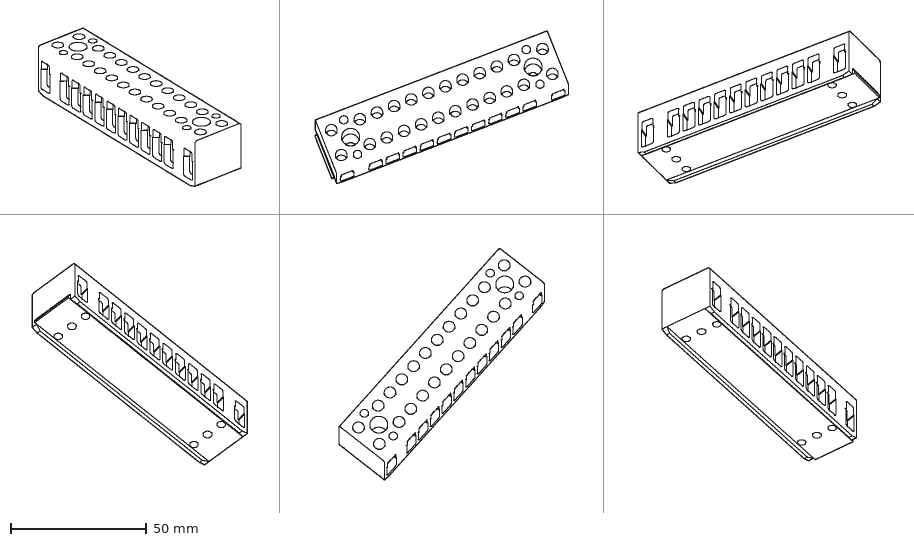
import cadquery as cq
import math

TOTAL_LENGTH = 93.15
WIDTH = 22.0
HEIGHT = 20.1
TAB_REACH = 1.0
BODY_LENGTH = TOTAL_LENGTH - TAB_REACH
TOP_FILLET = 1.1

RAMP_LENGTH = 2.8
RAMP_HEIGHT = 0.9
GROOVE_DEPTH = RAMP_HEIGHT
GROOVE_WIDTH_AT_ROOF = 17.3
GROOVE_WIDTH_AT_MOUTH = 19.0

TAB_WIDTH = GROOVE_WIDTH_AT_ROOF
TAB_BOTTOM_Z = GROOVE_DEPTH
TAB_NOSE_HEIGHT = 1.2
TAB_ARC_HEIGHT = 1.4
TAB_LEDGE = 0.3

STATION_COUNT = 10
STATION_PITCH = 6.8
END_STATION_X = 41.9
INNER_STATIONS = [(i - (STATION_COUNT - 1) / 2) * STATION_PITCH for i in range(STATION_COUNT)]
STATIONS = [-END_STATION_X, *INNER_STATIONS, END_STATION_X]

TERMINAL_DIAMETER = 4.3
TERMINAL_ROW_Y = 5.0
TERMINAL_DEPTH = 11.2

WINDOW_DEPTH = 3.0
WINDOW_WIDTH = 5.3
WINDOW_UPPER_WIDTH = 4.7
WINDOW_BOTTOM_Z = 2.6
WINDOW_TOP_Z = 14.4
WINDOW_STEP_OUTER_Z = 10.8
WINDOW_STEP_INNER_Z = 9.8
WINDOW_BOTTOM_FILLET = 0.9
WINDOW_TOP_FILLET = 0.6

MOUNT_X = 36.2
COUNTERBORE_DIAMETER = 6.6
COUNTERBORE_DEPTH = 11.2
SCREW_HOLE_DIAMETER = 3.3
SCREW_HOLE_ROUNDING = 1.1
SMALL_HOLE_DIAMETER = 3.1
SMALL_HOLE_Y = 7.0


def make_body():
    """Block with sloped underside ends and rounded long top edges, centred on X and Y."""
    half = BODY_LENGTH / 2
    side_profile = [
        (-half, RAMP_HEIGHT),
        (-half + RAMP_LENGTH, 0),
        (half - RAMP_LENGTH, 0),
        (half, RAMP_HEIGHT),
        (half, HEIGHT),
        (-half, HEIGHT),
    ]
    body = cq.Workplane("XZ").polyline(side_profile).close().extrude(WIDTH / 2, both=True)
    return body.faces(">Z").edges("|X").fillet(TOP_FILLET)


def make_groove():
    """Full-length underside groove that widens towards its mouth."""
    mouth = GROOVE_WIDTH_AT_MOUTH / 2
    roof = GROOVE_WIDTH_AT_ROOF / 2
    section = [(-mouth, 0), (mouth, 0), (roof, GROOVE_DEPTH), (-roof, GROOVE_DEPTH)]
    return cq.Workplane("YZ").polyline(section).close().extrude(BODY_LENGTH / 2, both=True)


def make_tab():
    """Retaining tab whose upper side is a concave arc below a narrow ledge."""
    face_x = -BODY_LENGTH / 2
    ledge_x = face_x - TAB_LEDGE
    nose_x = face_x - TAB_REACH
    nose_top_z = TAB_BOTTOM_Z + TAB_NOSE_HEIGHT
    ledge_z = nose_top_z + TAB_ARC_HEIGHT
    arc_reach = TAB_REACH - TAB_LEDGE
    radius = (arc_reach**2 + TAB_ARC_HEIGHT**2) / (2 * arc_reach)
    half_sweep = math.asin(TAB_ARC_HEIGHT / radius) / 2
    arc_middle = (
        ledge_x - radius * (1 - math.cos(half_sweep)),
        ledge_z - radius * math.sin(half_sweep),
    )
    return (
        cq.Workplane("XZ")
        .moveTo(face_x, TAB_BOTTOM_Z)
        .lineTo(nose_x, TAB_BOTTOM_Z)
        .lineTo(nose_x, nose_top_z)
        .threePointArc(arc_middle, (ledge_x, ledge_z))
        .lineTo(face_x, ledge_z)
        .close()
        .extrude(TAB_WIDTH / 2, both=True)
    )


def make_window():
    """Cutter for one side window at X = 0 on the -Y side."""
    face_y = -WIDTH / 2
    inner_y = face_y + WINDOW_DEPTH
    lower_section = [
        (face_y, WINDOW_BOTTOM_Z),
        (inner_y, WINDOW_BOTTOM_Z),
        (inner_y, WINDOW_STEP_INNER_Z),
        (face_y, WINDOW_STEP_OUTER_Z),
    ]
    lower = cq.Workplane("YZ").polyline(lower_section).close().extrude(WINDOW_WIDTH / 2, both=True)
    lower = lower.faces("<Z").edges("|Y").fillet(WINDOW_BOTTOM_FILLET)
    upper_start_z = WINDOW_BOTTOM_Z + WINDOW_BOTTOM_FILLET
    upper = (
        cq.Workplane("XY", origin=(0, (face_y + inner_y) / 2, upper_start_z))
        .rect(WINDOW_UPPER_WIDTH, WINDOW_DEPTH)
        .extrude(WINDOW_TOP_Z - upper_start_z)
    )
    upper = upper.faces(">Z").edges("|Y").fillet(WINDOW_TOP_FILLET)
    return lower.union(upper)


def make_mount_hole():
    """Cutter for one counterbored screw hole at X = 0 with a rounded hole mouth."""
    screw_radius = SCREW_HOLE_DIAMETER / 2
    bore_radius = COUNTERBORE_DIAMETER / 2
    floor_z = HEIGHT - COUNTERBORE_DEPTH
    rounding_offset = SCREW_HOLE_ROUNDING * (1 - math.sqrt(0.5))
    return (
        cq.Workplane("XZ")
        .lineTo(screw_radius, 0)
        .lineTo(screw_radius, floor_z - SCREW_HOLE_ROUNDING)
        .threePointArc(
            (screw_radius + rounding_offset, floor_z - rounding_offset),
            (screw_radius + SCREW_HOLE_ROUNDING, floor_z),
        )
        .lineTo(bore_radius, floor_z)
        .lineTo(bore_radius, HEIGHT)
        .lineTo(0, HEIGHT)
        .close()
        .revolve(360, (0, 0, 0), (0, 1, 0))
    )


def cut_terminals(body):
    """Cut the top holes and the windows of both long sides at every station."""
    hole_centres = [(x, side * TERMINAL_ROW_Y) for x in STATIONS for side in (-1, 1)]
    holes = (
        cq.Workplane("XY", origin=(0, 0, HEIGHT))
        .pushPoints(hole_centres)
        .circle(TERMINAL_DIAMETER / 2)
        .extrude(-TERMINAL_DEPTH)
    )
    body = body.cut(holes)
    front_window = make_window()
    back_window = front_window.mirror("XZ")
    for x in STATIONS:
        for window in (front_window, back_window):
            body = body.cut(window.translate((x, 0, 0)))
    return body


def cut_mounts(body):
    """Cut the screw holes and the small through holes near both ends."""
    small_centres = [(x, y) for x in (-MOUNT_X, MOUNT_X) for y in (-SMALL_HOLE_Y, SMALL_HOLE_Y)]
    small_holes = (
        cq.Workplane("XY")
        .pushPoints(small_centres)
        .circle(SMALL_HOLE_DIAMETER / 2)
        .extrude(HEIGHT)
    )
    body = body.cut(small_holes)
    mount_hole = make_mount_hole()
    for x in (-MOUNT_X, MOUNT_X):
        body = body.cut(mount_hole.translate((x, 0, 0)))
    return body


body = make_body().cut(make_groove())
body = cut_terminals(body)
body = cut_mounts(body)
result = body.union(make_tab())